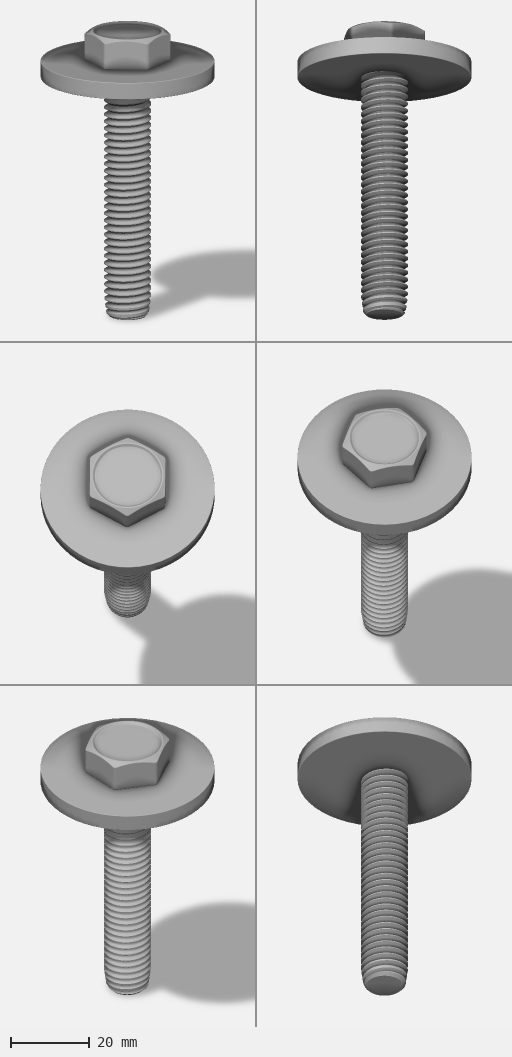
import cadquery as cq
import math

total_height = 75.2
head_height = 8.0
flange_thickness = 4.35
flange_diameter = 44.35
flange_edge_radius = 0.15

across_flats = 19.25
hex_half_angle = 30.0
hex_corner_radius = 1.1
head_edge_radius = 0.2
head_chamfer_angle = 30.0
head_top_radius = 9.2

dish_rim_radius = 8.9
dish_floor_radius = 8.35
dish_depth = 0.5

thread_radius = 6.0
root_radius = 4.7
thread_turns = 38
thread_length = 70.9
thread_start = -3.1
flank_angle = 30.0
crest_width = 0.2

tip_radius = 4.65
tip_chamfer = 0.75
tip_taper_length = 5.3
trim_clearance = 0.15

shank_embed = 0.75

head_base = total_height - head_height
flange_base = head_base - flange_thickness
shank_top = flange_base + shank_embed
pitch = thread_length / thread_turns


def make_flange():
    """Round washer-like flange with lightly rounded rims."""
    disc = (
        cq.Workplane("XY")
        .workplane(offset=flange_base)
        .circle(flange_diameter / 2)
        .extrude(flange_thickness)
    )
    return disc.faces("<Z or >Z").edges().fillet(flange_edge_radius)


def make_head():
    """Hexagonal head with flats facing +X and -X, rounded edges, a conical top chamfer and a dished top."""
    across_corners = across_flats / math.cos(math.radians(hex_half_angle))
    hexagon = (
        cq.Workplane("XY")
        .workplane(offset=head_base)
        .polygon(6, across_corners)
        .extrude(head_height)
        .rotate((0, 0, 0), (0, 0, 1), hex_half_angle)
        .edges("|Z")
        .fillet(hex_corner_radius)
    )
    envelope_radius = across_corners / 2
    chamfer_drop = (envelope_radius - head_top_radius) * math.tan(math.radians(head_chamfer_angle))
    envelope = (
        cq.Workplane("XZ")
        .moveTo(0, head_base)
        .lineTo(envelope_radius, head_base)
        .lineTo(envelope_radius, total_height - chamfer_drop)
        .lineTo(head_top_radius, total_height)
        .lineTo(0, total_height)
        .close()
        .revolve(360, (0, 0), (0, 1))
    )
    dish = (
        cq.Workplane("XZ")
        .moveTo(0, total_height - dish_depth)
        .lineTo(dish_floor_radius, total_height - dish_depth)
        .lineTo(dish_rim_radius, total_height)
        .lineTo(0, total_height)
        .close()
        .revolve(360, (0, 0), (0, 1))
    )
    head = hexagon.intersect(envelope).cut(dish)
    return head.edges("not |Z").fillet(head_edge_radius)


def make_threaded_bar():
    """Right-handed threaded bar, a shell of one-turn helical faces closed by a helicoid step at each end."""
    crest_half = crest_width / 2
    root_half = crest_half + (thread_radius - root_radius) * math.tan(math.radians(flank_angle))
    profile = [
        (root_radius, root_half - pitch),
        (root_radius, -root_half),
        (thread_radius, -crest_half),
        (thread_radius, crest_half),
        (root_radius, root_half),
    ]
    helices = [
        cq.Wire.makeHelix(pitch, pitch, radius).translate(cq.Vector(0, 0, height))
        for radius, height in profile
    ]
    turn_faces = [cq.Face.makeRuledSurface(lower, upper) for lower, upper in zip(helices, helices[1:])]
    faces = [
        face.translate(cq.Vector(0, 0, turn * pitch)) for turn in range(thread_turns) for face in turn_faces
    ]

    axis_start = cq.Vector(0, 0, profile[0][1])
    axis_end = axis_start + cq.Vector(0, 0, pitch)
    axis = cq.Wire.assembleEdges([cq.Edge.makeLine(axis_start, axis_end)])
    helicoid = cq.Face.makeRuledSurface(axis, helices[0])
    outline = [cq.Vector(radius, 0, height) for radius, height in profile]
    step = cq.Face.makeFromWires(cq.Wire.makePolygon([axis_start, *outline, axis_end], close=True))
    for end_height in (0, thread_turns * pitch):
        faces.append(helicoid.translate(cq.Vector(0, 0, end_height)))
        faces.append(step.translate(cq.Vector(0, 0, end_height)))

    bar = cq.Solid.makeSolid(cq.Shell.makeShell(faces))
    return cq.Workplane(bar).rotate((0, 0, 0), (0, 0, 1), 180).translate((0, 0, thread_start))


def make_shank():
    """Threaded bar trimmed to a tapered, chamfered tip; its top end is buried in the flange."""
    taper_start_radius = tip_radius + tip_chamfer
    taper_slope = (thread_radius - taper_start_radius) / (tip_taper_length - tip_chamfer)
    trim_radius = thread_radius + trim_clearance
    trim = (
        cq.Workplane("XZ")
        .lineTo(tip_radius, 0)
        .lineTo(taper_start_radius, tip_chamfer)
        .lineTo(trim_radius, tip_taper_length + trim_clearance / taper_slope)
        .lineTo(trim_radius, shank_top)
        .lineTo(0, shank_top)
        .close()
        .revolve(360, (0, 0), (0, 1))
    )
    return make_threaded_bar().intersect(trim)


result = make_flange().union(make_head()).union(make_shank())